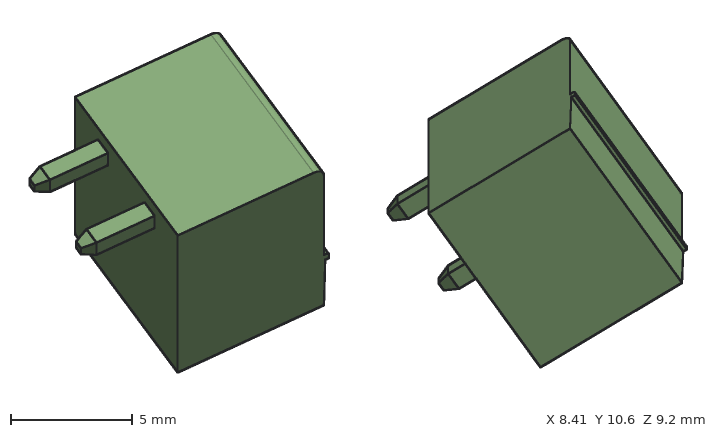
import cadquery as cq

pin_pitch = 3.81
pin_side_margin = 2.3
housing_width = pin_pitch + 2 * pin_side_margin
housing_depth = 7.0
housing_height = 9.2
top_fillet_radius = 0.5

ridge_bottom = 3.0
ridge_height = 0.38
ridge_projection = 0.24
ridge_fillet_radius = 0.15
lean_at_ridge = 0.06

pin_count = 2
pin_size = 0.82
pin_length = 3.4
pin_drop = 1.18
tip_length = 0.62
tip_size = 0.41


def make_housing():
    """Side profile in the YZ plane, extruded over the full width; front face at y = 0."""
    ridge_top = ridge_bottom + ridge_height
    ridge_back = housing_depth + ridge_projection
    profile = (
        cq.Workplane("YZ")
        .moveTo(0, 0)
        .lineTo(housing_depth, 0)
        .lineTo(housing_depth + lean_at_ridge, ridge_bottom)
        .lineTo(ridge_back, ridge_bottom)
        .lineTo(ridge_back, ridge_top - ridge_fillet_radius)
        .radiusArc((ridge_back - ridge_fillet_radius, ridge_top), -ridge_fillet_radius)
        .lineTo(housing_depth, ridge_top)
        .lineTo(housing_depth, housing_height - top_fillet_radius)
        .radiusArc((housing_depth - top_fillet_radius, housing_height), -top_fillet_radius)
        .lineTo(0, housing_height)
        .close()
    )
    return profile.extrude(housing_width)


def make_pin(center_x):
    """Square pin pointing toward -Y from the front face, ending in a tapered tip."""
    center_z = housing_height - pin_drop
    shank_length = pin_length - tip_length
    front_face = cq.Workplane("XZ", origin=(center_x, 0, center_z))
    shank = front_face.rect(pin_size, pin_size).extrude(shank_length)
    tip = (
        front_face.workplane(offset=shank_length)
        .rect(pin_size, pin_size)
        .workplane(offset=tip_length)
        .rect(tip_size, tip_size)
        .loft(ruled=True)
    )
    return shank.union(tip)


result = make_housing()
for pin_index in range(pin_count):
    result = result.union(make_pin(pin_side_margin + pin_index * pin_pitch))